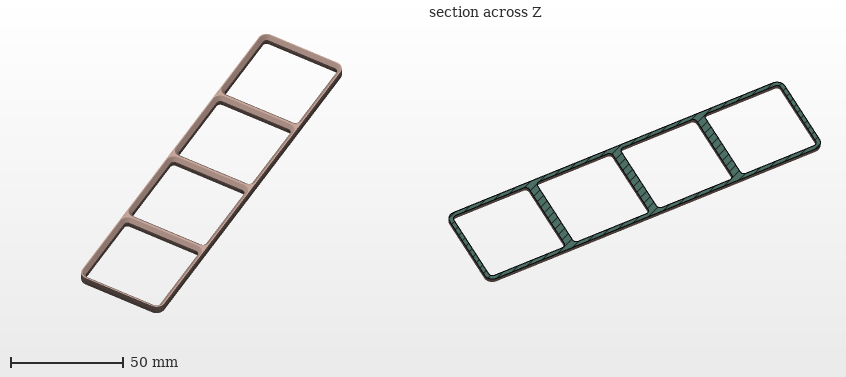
import cadquery as cq

length = 168.0
cell_count = 4
pitch = length / cell_count
height = 4.2
corner_radius = 4.0

land = 0.5
slope = 1.7
rim_radius = corner_radius - land


def rounded_block(width, depth, radius, block_height):
    """Block standing on Z = 0 with rounded vertical edges."""
    block = cq.Workplane("XY").rect(width, depth).extrude(block_height)
    return block.edges("|Z").fillet(radius)


def cell_pocket():
    """Through opening whose rim flares outward at 45 degrees."""
    rim_size = pitch - 2 * land
    bore_size = rim_size - 2 * slope
    bore_radius = rim_radius - slope
    bore = rounded_block(bore_size, bore_size, bore_radius, height)
    flare = (
        cq.Workplane("XY", origin=(0, 0, height))
        .sketch().rect(rim_size, rim_size).vertices().fillet(rim_radius).finalize()
        .extrude(-slope, taper=45)
    )
    return bore.union(flare)


frame = rounded_block(pitch, length, corner_radius, height)
pocket = cell_pocket()
for index in range(cell_count):
    cell_y = (index - (cell_count - 1) / 2) * pitch
    frame = frame.cut(pocket.translate((0, cell_y, 0)))

result = frame